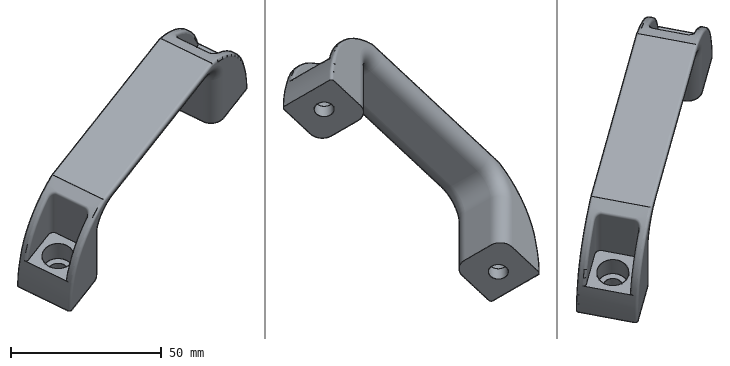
import cadquery as cq

WIDTH = 21.0
LENGTH = 112.0
HEIGHT = 36.0
HALF_LENGTH = LENGTH / 2

FLOOR_HEIGHT = 13.0
LOWER_ARC_INSET = 1.7
LOWER_ARC_RADIUS = (FLOOR_HEIGHT**2 + LOWER_ARC_INSET**2) / (2 * LOWER_ARC_INSET)
UPPER_ARC_INSET = 22.0
UPPER_ARC_RADIUS = 30.0

BAR_THICKNESS = 6.0
LEG_DEPTH = 20.25
OPENING_RADIUS = 7.0
OPENING_HEIGHT = HEIGHT - BAR_THICKNESS
OPENING_HALF_LENGTH = HALF_LENGTH - LEG_DEPTH

OUTER_EDGE_RADIUS = 1.0
EDGE_GAP = 0.01
INNER_EDGE_RADIUS = BAR_THICKNESS - OUTER_EDGE_RADIUS - EDGE_GAP

WALL = 3.0
POCKET_WIDTH = WIDTH - 2 * WALL
POCKET_DEPTH = 17.2
POCKET_CORNER_RADIUS = 2.0
POCKET_RIM_RADIUS = 1.0

HOLE_PITCH = 93.5
HOLE_DIAMETER = 6.6
COUNTERBORE_DIAMETER = 10.6
COUNTERBORE_DEPTH = 8.0

TOLERANCE = 0.01
ENDS = (-1, 1)


def bow_without_opening():
    """Side outline without the opening, extruded across the full width."""
    return (
        cq.Workplane("YZ")
        .moveTo(-HALF_LENGTH, 0)
        .radiusArc((-HALF_LENGTH + LOWER_ARC_INSET, FLOOR_HEIGHT), LOWER_ARC_RADIUS)
        .radiusArc((-HALF_LENGTH + UPPER_ARC_INSET, HEIGHT), UPPER_ARC_RADIUS)
        .lineTo(HALF_LENGTH - UPPER_ARC_INSET, HEIGHT)
        .radiusArc((HALF_LENGTH - LOWER_ARC_INSET, FLOOR_HEIGHT), UPPER_ARC_RADIUS)
        .radiusArc((HALF_LENGTH, 0), LOWER_ARC_RADIUS)
        .close()
        .extrude(WIDTH / 2, both=True)
    )


def opening():
    """Hand opening with rounded upper corners."""
    return (
        cq.Workplane("XY")
        .box(WIDTH, 2 * OPENING_HALF_LENGTH, OPENING_HEIGHT, centered=(True, True, False))
        .edges("|X and >Z")
        .fillet(OPENING_RADIUS)
    )


def bounds_opening(edge):
    """Tell whether an edge lies on the border of the hand opening."""
    middle = edge.Center()
    within_length = abs(middle.y) < OPENING_HALF_LENGTH + TOLERANCE
    return within_length and middle.z < OPENING_HEIGHT + TOLERANCE


def side_edges(body, around_opening):
    """Edges of the two flat sides, around the opening or along the outside, without the base."""
    edges = body.faces("<X or >X").edges().vals()
    raised = [edge for edge in edges if edge.BoundingBox().zmax > TOLERANCE]
    return body.newObject([edge for edge in raised if bounds_opening(edge) == around_opening])


def rounded_body():
    """Bow-shaped grip with all its long edges rounded."""
    body = bow_without_opening().cut(opening())
    body = side_edges(body, around_opening=False).fillet(OUTER_EDGE_RADIUS)
    return side_edges(body, around_opening=True).fillet(INNER_EDGE_RADIUS)


def pocket(end):
    """Vertical prism through one leg, open past the end of the part."""
    return (
        cq.Workplane("XY")
        .center(0, end * HALF_LENGTH)
        .rect(POCKET_WIDTH, 2 * POCKET_DEPTH)
        .extrude(HEIGHT)
        .edges("|Z")
        .fillet(POCKET_CORNER_RADIUS)
    )


def rim_edges(body, end):
    """Edges where the walls of one pocket meet the outer end curve."""
    half_width = POCKET_WIDTH / 2 + TOLERANCE
    back = end * (HALF_LENGTH - POCKET_DEPTH - TOLERANCE)
    around_pocket = cq.selectors.BoxSelector(
        (-half_width, back, TOLERANCE),
        (half_width, end * HALF_LENGTH, HEIGHT),
    )
    return body.edges("not |Z").edges(around_pocket)


def pocketed_body():
    """Grip with both pockets cut through, their rims rounded and their floors filled in."""
    whole = rounded_body()
    body = whole
    for end in ENDS:
        body = body.cut(pocket(end))
        body = rim_edges(body, end).fillet(POCKET_RIM_RADIUS)
    below_floor = cq.Workplane("XY").box(WIDTH, LENGTH, FLOOR_HEIGHT, centered=(True, True, False))
    return body.union(whole.intersect(below_floor))


def screw_holes(body):
    """Through holes, counterbored from the pocket floors."""
    return (
        body.copyWorkplane(cq.Workplane("XY", origin=(0, 0, FLOOR_HEIGHT)))
        .pushPoints([(0, end * HOLE_PITCH / 2) for end in ENDS])
        .cboreHole(HOLE_DIAMETER, COUNTERBORE_DIAMETER, COUNTERBORE_DEPTH)
    )


result = screw_holes(pocketed_body())